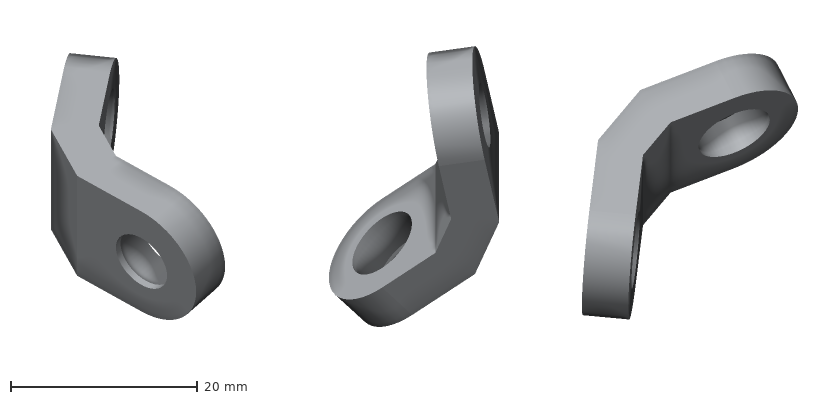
import cadquery as cq
import math

length = 35.98
height = 15.0
thickness = 5.0
bend_angle = 30.0
flat_width = 7.7
hole_diameter = 7.0
counterbore_diameter = 8.4
lip_thickness = 0.8

slope = math.radians(bend_angle)
end_radius = height / 2
outer_bend = flat_width / 2
arm_length = (length / 2 - outer_bend) / math.cos(slope)
hole_distance = arm_length - end_radius
bend_setback = thickness * math.tan(slope / 2)


def make_center():
    """Central flat, mitred at both bends."""
    inner_bend = outer_bend - bend_setback
    return (
        cq.Workplane("XY")
        .polyline([
            (-outer_bend, 0),
            (outer_bend, 0),
            (inner_bend, thickness),
            (-inner_bend, thickness),
        ])
        .close()
        .extrude(end_radius, both=True)
    )


def make_right_arm():
    """Arm with a mitred root, a round end and a counterbored hole concentric with it."""
    plane = cq.Workplane("XZ")
    arm = (
        plane
        .moveTo(0, -end_radius)
        .lineTo(hole_distance, -end_radius)
        .threePointArc((arm_length, 0), (hole_distance, end_radius))
        .lineTo(0, end_radius)
        .close()
        .extrude(-thickness)
    )
    miter = (
        cq.Workplane("XY")
        .polyline([(0, 0), (bend_setback, thickness), (0, thickness)])
        .close()
        .extrude(end_radius, both=True)
    )
    hole = plane.center(hole_distance, 0).circle(hole_diameter / 2).extrude(-thickness)
    counterbore = (
        plane.workplane(offset=-lip_thickness)
        .center(hole_distance, 0)
        .circle(counterbore_diameter / 2)
        .extrude(lip_thickness - thickness)
    )
    return (
        arm.cut(miter)
        .cut(hole)
        .cut(counterbore)
        .rotate((0, 0, 0), (0, 0, 1), bend_angle)
        .translate((outer_bend, 0, 0))
    )


right_arm = make_right_arm()
left_arm = right_arm.mirror("YZ")
result = make_center().union(right_arm).union(left_arm).clean()